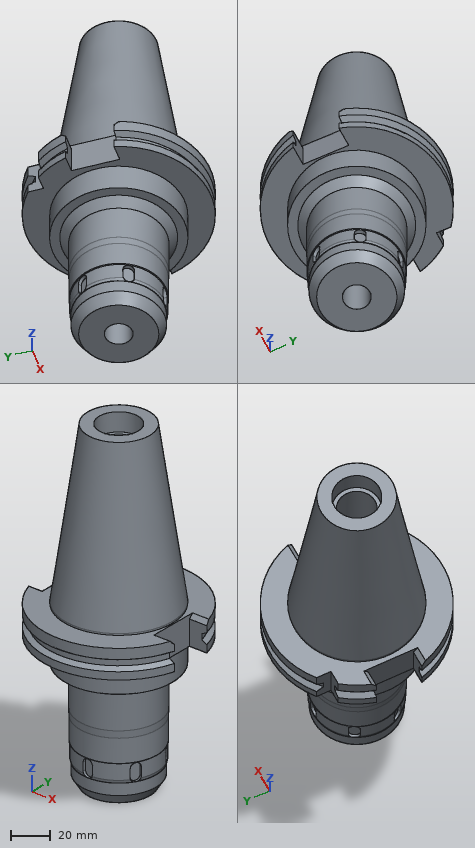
import cadquery as cq
import math

total_height = 206.8
taper_ratio = 7 / 24
gauge_z = 105.0
gauge_radius = 35.0
taper_length = total_height - gauge_z
taper_top_radius = gauge_radius - taper_length * taper_ratio / 2

flange_radius = 48.8
flange_top = 104.0
flange_bottom = 85.8
groove_root_radius = 45.7
groove_upper_edge = 97.5
groove_lower_edge = 90.5
groove_wall_angle = 30
groove_flare = (flange_radius - groove_root_radius) * math.tan(math.radians(groove_wall_angle))

slot_width = 25.6
slot_floor_left = 37.6
slot_floor_right = 35.8
slot_chamfer = 2.5

notch_offset = 30.2

collar_bottom = 70.0
cone_top_radius = 29.8
body_radius = 25.5
cone_bottom = 65.1
shank_bottom = 44.0
nut_top = 39.7
nut_radius = 25.2

band_top = 25.2
band_top_bevel = 0.5
band_radius = nut_radius - band_top_bevel
band_bottom = 15.3
band_foot_radius = 24.4
tip_top = 13.5
tip_radius = 24.2
chamfer_top = 6.2
nose_radius = 20.3

wrench_slot_count = 6
wrench_slot_width = 6.0
wrench_slot_top = 24.5
wrench_slot_bottom = 13.5
wrench_slot_floor = 22.7

counterbore_radius = 12.6
counterbore_depth = 11.5
thread_radius = 10.3
thread_depth = 41.4
through_radius = 7.2


def make_body():
    """Revolve the outer outline, from the nose up to the taper."""
    outline = [
        (0, 0),
        (nose_radius, 0),
        (tip_radius, chamfer_top),
        (tip_radius, tip_top),
        (band_foot_radius, tip_top),
        (band_radius, band_bottom),
        (band_radius, band_top - band_top_bevel),
        (nut_radius, band_top),
        (nut_radius, nut_top),
        (body_radius, shank_bottom),
        (body_radius, cone_bottom),
        (cone_top_radius, collar_bottom),
        (gauge_radius, collar_bottom),
        (gauge_radius, flange_bottom),
        (flange_radius, flange_bottom),
        (flange_radius, groove_lower_edge),
        (groove_root_radius, groove_lower_edge + groove_flare),
        (groove_root_radius, groove_upper_edge - groove_flare),
        (flange_radius, groove_upper_edge),
        (flange_radius, flange_top),
        (gauge_radius, flange_top),
        (gauge_radius, gauge_z),
        (taper_top_radius, total_height),
        (0, total_height),
    ]
    return cq.Workplane("XZ").polyline(outline).close().revolve(360, (0, 0, 0), (0, 1, 0))


def make_drive_slot(side, floor):
    """Slot through the flange height on one side, with bevelled top edges."""
    half = slot_width / 2
    bevel_half = half + slot_chamfer
    section = [
        (-half, flange_bottom),
        (half, flange_bottom),
        (half, flange_top - slot_chamfer),
        (bevel_half, flange_top),
        (-bevel_half, flange_top),
        (-half, flange_top - slot_chamfer),
    ]
    floor_plane = cq.Workplane("YZ", origin=(side * floor, 0, 0))
    return floor_plane.polyline(section).close().extrude(side * (flange_radius - floor))


def make_notch():
    """Square corner cut through the flange rim at -X, +Y."""
    return (
        cq.Workplane("XY", origin=(-notch_offset, notch_offset, flange_bottom))
        .rect(-flange_radius, flange_radius, centered=False)
        .extrude(flange_top - flange_bottom)
    )


def make_wrench_slots():
    """Round-ended flat-bottomed slots spaced evenly around the nut."""
    slot_length = wrench_slot_top - wrench_slot_bottom
    slot_middle = (wrench_slot_top + wrench_slot_bottom) / 2
    slot = (
        cq.Workplane("XZ", origin=(0, -wrench_slot_floor, slot_middle))
        .slot2D(slot_length, wrench_slot_width, 90)
        .extrude(nut_radius - wrench_slot_floor)
    )
    spacing = 360 / wrench_slot_count
    return [slot.rotate((0, 0, 0), (0, 0, 1), index * spacing) for index in range(wrench_slot_count)]


def make_bore():
    """Stepped bore entering from the taper end and passing through."""
    bore = cq.Workplane("XY").circle(through_radius).extrude(total_height)
    for radius, depth in ((thread_radius, thread_depth), (counterbore_radius, counterbore_depth)):
        step = cq.Workplane("XY", origin=(0, 0, total_height - depth)).circle(radius).extrude(depth)
        bore = bore.union(step)
    return bore


result = make_body()
result = result.cut(make_drive_slot(-1, slot_floor_left))
result = result.cut(make_drive_slot(1, slot_floor_right))
result = result.cut(make_notch())
result = result.cut(make_bore())
for wrench_slot in make_wrench_slots():
    result = result.cut(wrench_slot)